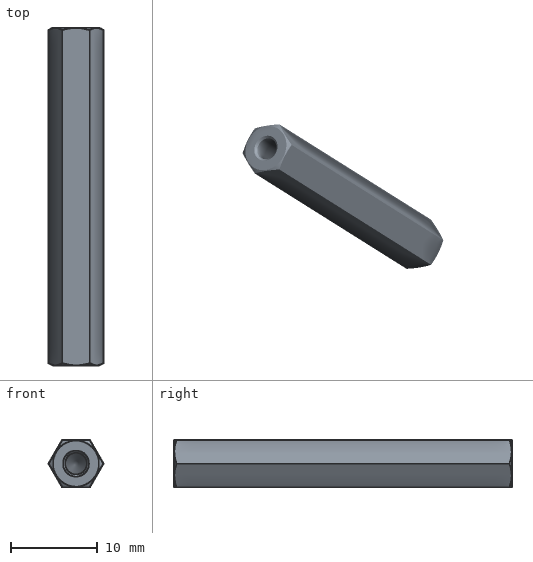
import cadquery as cq
import math

length = 39.0
across_flats = 5.5
across_corners = across_flats / math.cos(math.pi / 6)

end_face_diameter = 5.3
chamfer_angle = math.radians(30)
envelope_clearance = 0.4

hole_diameter = 2.5
mouth_diameter = 3.0
hole_depth = 9.75
drill_tip_angle = math.radians(118)


def hexagonal_bar():
    return (
        cq.Workplane("XZ")
        .polygon(6, across_corners)
        .extrude(length / 2, both=True)
    )


def chamfer_envelope():
    """Round bar with coned ends, wide enough to touch only the hexagon's corners."""
    outer_radius = across_corners / 2 + envelope_clearance
    end_radius = end_face_diameter / 2
    cone_length = (outer_radius - end_radius) * math.tan(chamfer_angle)
    half_length = length / 2
    profile = [
        (0, -half_length),
        (end_radius, -half_length),
        (outer_radius, cone_length - half_length),
        (outer_radius, half_length - cone_length),
        (end_radius, half_length),
        (0, half_length),
    ]
    return cq.Workplane("XY").polyline(profile).close().revolve(360, (0, 0), (0, 1))


def end_hole():
    """Cutting shape for the blind hole that opens on the -Y end."""
    hole_radius = hole_diameter / 2
    mouth_radius = mouth_diameter / 2
    mouth_depth = mouth_radius - hole_radius
    tip_length = hole_radius / math.tan(drill_tip_angle / 2)
    end_y = -length / 2
    profile = [
        (0, end_y),
        (mouth_radius, end_y),
        (hole_radius, end_y + mouth_depth),
        (hole_radius, end_y + hole_depth),
        (0, end_y + hole_depth + tip_length),
    ]
    return cq.Workplane("XY").polyline(profile).close().revolve(360, (0, 0), (0, 1))


front_hole = end_hole()
back_hole = front_hole.mirror("XZ")
result = hexagonal_bar().intersect(chamfer_envelope()).cut(front_hole).cut(back_hole)